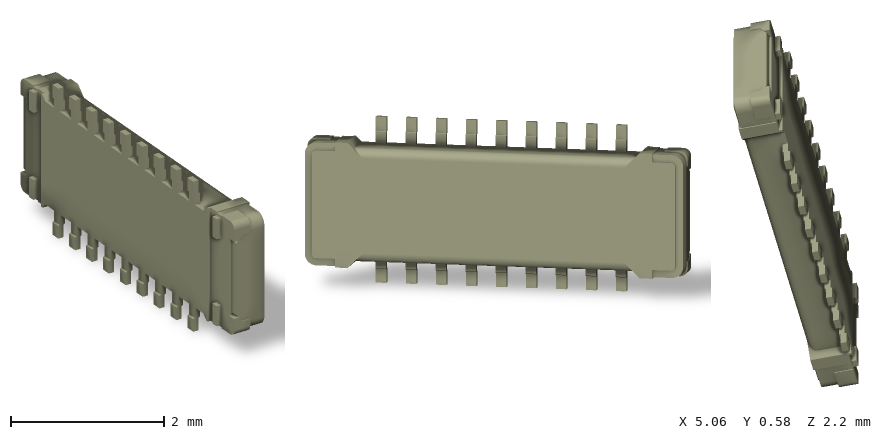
import cadquery as cq

LENGTH = 5.06
WIDTH = 2.2
HEIGHT = 0.58

CORE_WIDTH = 1.51
CORE_BASE = 0.025
CORE_FILLET = 0.12

BLOCK_WIDTH = 1.66
BLOCK_BASE = 0.07
BLOCK_INNER_X = 1.945
CORE_STEP_X = 1.975
RIB_OUTER_X = 2.115

CAP_INSET = 0.01
CAP_WIDTH = 1.63
CAP_TOP = 0.55
CAP_RADIUS = 0.15
CAP_WALL = 0.1
COLLAR_TOP = 0.325
COLLAR_INNER_X = 2.225
COLLAR_RADIUS = 0.095

TONGUE_WIDTH = 1.265
TONGUE_TIP_WIDTH = 1.05
TONGUE_BASE = 0.11
TONGUE_CHAMFER_TOP = 0.2
WINDOW_WIDTH = 1.135
WINDOW_DEPTH = 0.12

PAD_INNER_X = 2.12
PAD_OUTER_X = 2.22
PAD_INNER_Z = 0.49
PAD_OUTER_Z = 0.785

LEADS_PER_SIDE = 9
LEAD_PITCH = 0.4
LEAD_WIDTH = 0.14
LEAD_THICKNESS = 0.08
LEAD_BEND_Z = 0.905
LEAD_BEND_RUN = 0.01
LEAD_ROOT_TOP = 0.1

END_X = LENGTH / 2
CAP_END_X = END_X - CAP_INSET


def box(x_min, x_max, y_min, y_max, z_min, z_max):
    """Box between opposite corners."""
    return cq.Workplane("XY").box(
        x_max - x_min, y_max - y_min, z_max - z_min, centered=False
    ).translate((x_min, y_min, z_min))


def raise_outline(outline, y_min, y_max):
    """Prism over a closed XZ outline, from y_min up to y_max."""
    return outline.extrude(-(y_max - y_min)).translate((0, y_min, 0))


def make_core():
    """Insulator bar with rounded long edges on the mating side."""
    half = CORE_WIDTH / 2
    bar = box(-CORE_STEP_X, CORE_STEP_X, CORE_BASE, HEIGHT, -half, half)
    return bar.edges("|X and >Y").fillet(CORE_FILLET)


def make_rib():
    """Full-width rib at the +X end, with 45 degree flanks towards the core."""
    half = BLOCK_WIDTH / 2
    flank_run = half - (CORE_WIDTH / 2 - CORE_FILLET)
    inner_x = BLOCK_INNER_X - flank_run
    inner_z = half - flank_run
    outline = cq.Workplane("XZ").polyline([
        (inner_x, -inner_z),
        (BLOCK_INNER_X, -half),
        (RIB_OUTER_X, -half),
        (RIB_OUTER_X, half),
        (BLOCK_INNER_X, half),
        (inner_x, inner_z),
    ]).close()
    rib = raise_outline(outline, CORE_BASE, HEIGHT)
    return rib.cut(box(CORE_STEP_X, END_X, 0, BLOCK_BASE, -half, half))


def end_slab(x_min, x_max, width, y_min, y_max, radius):
    """Slab from x_min to x_max with its two outer corners rounded."""
    slab = box(x_min, x_max, y_min, y_max, -width / 2, width / 2)
    return slab.edges("|Y and >X").fillet(radius)


def make_cap():
    """Metal cap over the +X end, around a raised insulator plateau."""
    cap = end_slab(RIB_OUTER_X, CAP_END_X, CAP_WIDTH, COLLAR_TOP, CAP_TOP, CAP_RADIUS)
    lower_filling = box(
        RIB_OUTER_X, COLLAR_INNER_X, BLOCK_BASE, COLLAR_TOP, -CAP_WIDTH / 2, CAP_WIDTH / 2
    )
    plateau = end_slab(
        RIB_OUTER_X, CAP_END_X - CAP_WALL, CAP_WIDTH - 2 * CAP_WALL,
        COLLAR_TOP, HEIGHT, CAP_RADIUS - CAP_WALL
    )
    return cap.union(lower_filling).union(plateau)


def tongue_outline(x):
    """Closed YZ outline of the cap tongue, placed at x."""
    half = TONGUE_WIDTH / 2
    tip_half = TONGUE_TIP_WIDTH / 2
    return cq.Workplane("YZ", origin=(x, 0, 0)).polyline([
        (COLLAR_TOP, -half),
        (TONGUE_CHAMFER_TOP, -half),
        (TONGUE_BASE, -tip_half),
        (TONGUE_BASE, tip_half),
        (TONGUE_CHAMFER_TOP, half),
        (COLLAR_TOP, half),
    ]).close()


def make_collar():
    """Collar around the lower half of the cap, with the tongue in its window."""
    collar = end_slab(
        COLLAR_INNER_X, END_X, BLOCK_WIDTH, BLOCK_BASE, COLLAR_TOP, COLLAR_RADIUS
    )
    window_x = END_X - WINDOW_DEPTH
    entry = box(
        window_x, END_X, BLOCK_BASE, TONGUE_CHAMFER_TOP, -WINDOW_WIDTH / 2, WINDOW_WIDTH / 2
    )
    seat = tongue_outline(window_x).extrude(WINDOW_DEPTH)
    tongue = tongue_outline(window_x).extrude(WINDOW_DEPTH - CAP_INSET)
    return collar.cut(entry).cut(seat).union(tongue)


def make_end():
    """Everything at the +X end: rib, cap, collar and two solder pads."""
    end = make_rib().union(make_cap()).union(make_collar())
    for z_min in (PAD_INNER_Z, -PAD_OUTER_Z):
        z_max = z_min + PAD_OUTER_Z - PAD_INNER_Z
        end = end.union(box(PAD_INNER_X, PAD_OUTER_X, 0, COLLAR_TOP, z_min, z_max))
    return end


def make_lead(x):
    """Contact lead on the +Z side, jogging down to the solder plane."""
    root_z = CORE_WIDTH / 2 - LEAD_THICKNESS
    tip_z = WIDTH / 2
    foot_z = LEAD_BEND_Z + LEAD_BEND_RUN
    profile = cq.Workplane("YZ", origin=(x, 0, 0)).polyline([
        (CORE_BASE, root_z),
        (CORE_BASE, LEAD_BEND_Z),
        (0, foot_z),
        (0, tip_z),
        (LEAD_THICKNESS, tip_z),
        (LEAD_THICKNESS, foot_z),
        (LEAD_ROOT_TOP, LEAD_BEND_Z),
        (LEAD_ROOT_TOP, root_z),
    ]).close()
    return profile.extrude(LEAD_WIDTH / 2, both=True)


result = make_core()

end = make_end()
result = result.union(end).union(end.mirror("YZ"))

for index in range(LEADS_PER_SIDE):
    lead = make_lead((index - (LEADS_PER_SIDE - 1) / 2) * LEAD_PITCH)
    result = result.union(lead).union(lead.mirror("XY"))